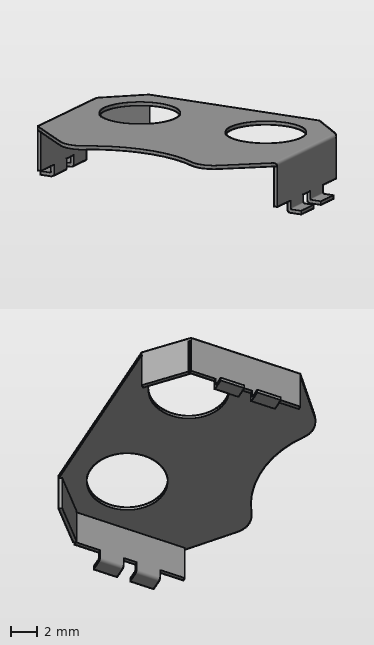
import cadquery as cq
import math

sheet = 0.3
height = 4.5
foot_span = 22.9
body_width = 21.07
half_width = body_width / 2

back_y = 7.67
back_half_width = 7.49
wall_back_y = 4.92
wall_front_y = -4.33
front_slope = math.radians(38.9)
lobe_radius = 2.0
scallop_radius = 8.93
scallop_x = 0.07
scallop_top_y = -6.07

hole_diameter = 6.2
hole_spacing = 11.08
hole_y = 2.77

wall_bottom_z = 0.98
flange_relief = 0.25
foot_width = 2.0
foot_pitch = 3.1
foot_inner_bend = 0.11
foot_outer_bend = 0.27
cover_bend = 0.27

plate_bottom_z = height - sheet
wall_height = plate_bottom_z - wall_bottom_z


def cover_plate():
    """Flat cover with sloped corners, two rounded front lobes and a scallop between them."""
    tip_y = wall_front_y - half_width * math.tan(front_slope)
    blank = (
        cq.Workplane("XY", origin=(0, 0, plate_bottom_z))
        .polyline([
            (-half_width, wall_front_y),
            (-half_width, wall_back_y),
            (-back_half_width, back_y),
            (back_half_width, back_y),
            (half_width, wall_back_y),
            (half_width, wall_front_y),
            (0, tip_y),
        ])
        .close()
        .extrude(sheet)
    )
    scallop = (
        cq.Workplane("XY", origin=(scallop_x, scallop_top_y - scallop_radius, plate_bottom_z))
        .circle(scallop_radius)
        .extrude(sheet)
    )
    plate = blank.cut(scallop)
    lobe_tips = cq.selectors.BoxSelector(
        (-half_width + sheet, tip_y, 0), (half_width - sheet, wall_front_y - sheet, height)
    )
    plate = plate.edges("|Z").edges(lobe_tips).fillet(lobe_radius)
    holes = (
        cq.Workplane("XY", origin=(0, hole_y, plate_bottom_z))
        .pushPoints([(-hole_spacing / 2, 0), (hole_spacing / 2, 0)])
        .circle(hole_diameter / 2)
        .extrude(sheet)
    )
    return plate.cut(holes).edges(">X and >Z").fillet(cover_bend)


def left_wall():
    """Vertical wall flush with the left edge of the cover."""
    return cq.Workplane("XY").box(
        sheet, wall_back_y - wall_front_y, wall_height, centered=False
    ).translate((-half_width, wall_front_y, wall_bottom_z))


def left_flange():
    """Angled flange under the left back corner, set back from the wall by a relief."""
    run_x = half_width - back_half_width
    run_y = back_y - wall_back_y
    length = math.hypot(run_x, run_y)
    angle = math.degrees(math.atan2(run_y, run_x))
    return (
        cq.Workplane("XY")
        .box(length - flange_relief, sheet, wall_height, centered=False)
        .translate((flange_relief, -sheet, 0))
        .rotate((0, 0, 0), (0, 0, 1), angle)
        .translate((-half_width, wall_back_y, wall_bottom_z))
    )


def left_foot(center_y):
    """L-shaped solder foot with a rounded bend, hanging from the left wall."""
    inner_x = -half_width + sheet
    return (
        cq.Workplane("XZ", origin=(0, center_y + foot_width / 2, 0))
        .moveTo(inner_x, wall_bottom_z)
        .lineTo(inner_x, foot_outer_bend)
        .radiusArc((inner_x - foot_outer_bend, 0), foot_outer_bend)
        .lineTo(-foot_span / 2, 0)
        .lineTo(-foot_span / 2, sheet)
        .lineTo(-half_width - foot_inner_bend, sheet)
        .radiusArc((-half_width, sheet + foot_inner_bend), -foot_inner_bend)
        .lineTo(-half_width, wall_bottom_z)
        .close()
        .extrude(foot_width)
    )


feet_mid_y = (wall_back_y + wall_front_y) / 2
side = left_wall().union(left_flange())
for offset in (-foot_pitch / 2, foot_pitch / 2):
    side = side.union(left_foot(feet_mid_y + offset))

result = cover_plate().union(side).union(side.mirror("YZ"))